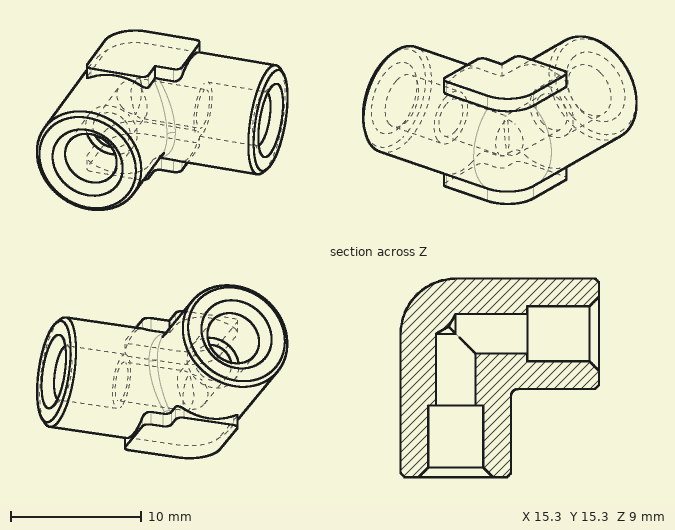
import cadquery as cq
import math

body_diameter = 8.5
body_radius = body_diameter / 2
arm_length = 11.0
end_chamfer = 0.325
inner_corner_radius = 0.5

pad_width = 5.0
pad_half_width = pad_width / 2
pad_reach = 4.5
overall_height = 9.0
pad_corner_radius = 0.5

bore_diameter = 3.0
drill_tip_angle = 120.0
socket_diameter = 4.2
socket_depth = 5.5
mouth_diameter = 5.7
mouth_depth = 0.75

arm_turns = (0, -90)


def turned_solid(profile):
    """Revolve a half profile, given as (x, radius) points, about the X axis."""
    return cq.Workplane("XY").polyline(profile).close().revolve(360, (0, 0, 0), (1, 0, 0))


def make_arm():
    """Round arm along +X with a chamfered end."""
    return turned_solid([
        (0, 0),
        (0, body_radius),
        (arm_length - end_chamfer, body_radius),
        (arm_length, body_radius - end_chamfer),
        (arm_length, 0),
    ])


def make_port():
    """Tapered mouth, tube socket and bore, ending in a drill point past the centre."""
    bore_radius = bore_diameter / 2
    socket_radius = socket_diameter / 2
    tip_length = bore_radius / math.tan(math.radians(drill_tip_angle / 2))
    socket_floor = arm_length - socket_depth
    mouth_floor = arm_length - mouth_depth
    return turned_solid([
        (-tip_length, 0),
        (0, bore_radius),
        (socket_floor, bore_radius),
        (socket_floor, socket_radius),
        (mouth_floor, socket_radius),
        (arm_length, mouth_diameter / 2),
        (arm_length, 0),
    ])


def make_pad(height):
    """L-shaped pad rising from the mid-plane, with a large round on the elbow's outer corner."""
    mid_arc = pad_half_width * math.sqrt(0.5)
    pad = (
        cq.Workplane("XY")
        .moveTo(0, pad_half_width)
        .lineTo(pad_reach, pad_half_width)
        .lineTo(pad_reach, -pad_half_width)
        .lineTo(pad_half_width, -pad_half_width)
        .lineTo(pad_half_width, -pad_reach)
        .lineTo(-pad_half_width, -pad_reach)
        .lineTo(-pad_half_width, 0)
        .threePointArc((-mid_arc, mid_arc), (0, pad_half_width))
        .close()
        .extrude(height)
    )
    leg_end_edges = pad.edges("|Z and >X").add(pad.edges("|Z and <Y"))
    return leg_end_edges.fillet(pad_corner_radius)


def blend_inner_corner(elbow):
    """Round the seam between the arms, on down through the notch corner of the bottom pad."""
    arm_seam = elbow.edges("%ELLIPSE")
    pad_middle = (pad_half_width, -pad_half_width, -(body_radius + overall_height / 2) / 2)
    bottom_notch_edge = elbow.edges("|Z").edges(cq.selectors.NearestToPointSelector(pad_middle))
    return arm_seam.add(bottom_notch_edge).fillet(inner_corner_radius)


def aim(shape, turn):
    """Turn a shape built along +X into the direction of its arm."""
    return shape.rotate((0, 0, 0), (0, 0, 1), turn)


body = cq.Workplane("XY").sphere(body_radius)
for turn in arm_turns:
    body = body.union(aim(make_arm(), turn))
for pad_height in (overall_height / 2, -overall_height / 2):
    body = body.union(make_pad(pad_height))

body = blend_inner_corner(body)

for turn in arm_turns:
    body = body.cut(aim(make_port(), turn))

result = body.solids()